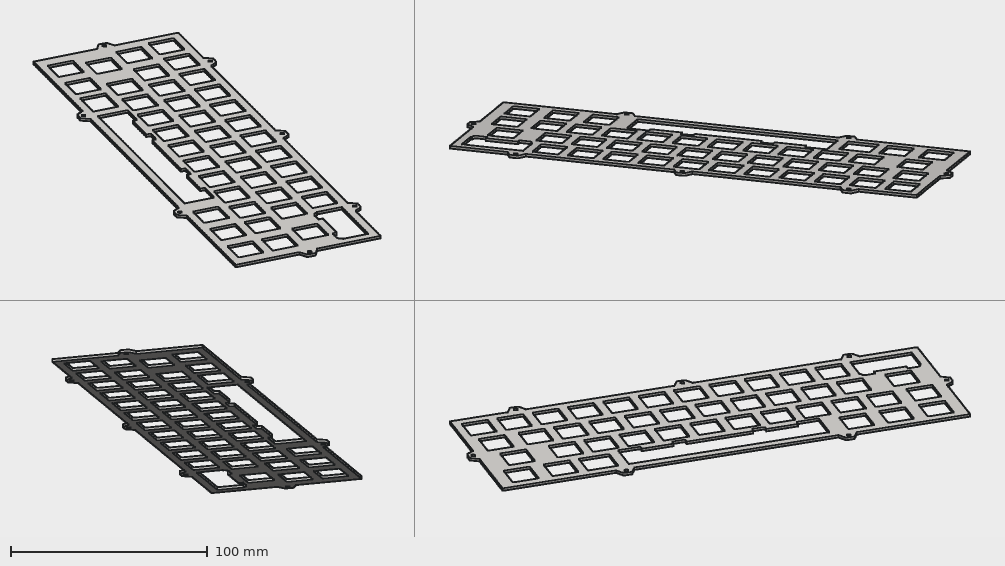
import cadquery as cq

length = 260.6
width = 89.1
thickness = 1.5
plate_length = 252.0
ear_reach = (length - plate_length) / 2
plate_width = width - 2 * ear_reach

ear_base = 10.0
ear_top = 4.5
ear_top_radius = 0.8
ear_hole_diameter = 2.0
ear_hole_inset = 2.5
back_ear_spacing = 90.0
front_ear_spacing = 120.0

row_length = 247.5
row_length_in_keys = 13
key_unit = row_length / row_length_in_keys
row_count = 4

switch_straight_side = 13.0
corner_radius = 0.5
switch_size = switch_straight_side + 2 * corner_radius

backspace_centre = 12
backspace_length = 33.0
backspace_notch_span = 31.8
backspace_web_length = 17.5
backspace_notch_depth = 2.3
backspace_notch_radius = 2.0

spacebar_centre = 6.375
spacebar_shift = 0.13
spacebar_length = 108.2
spacebar_notch_depth = 2.48
spacebar_notch_radius = 0.8
outer_notch_length = 12.0
middle_notch_length = 7.0
middle_notch_spacing = 43.0

key_rows = [
    [0.5 + i for i in range(11)],
    [0.625] + [1.75 + i for i in range(10)] + [12.125],
    [0.875] + [2.25 + i for i in range(10)] + [12.375],
    [0.625, 1.75, 2.75, 2.875, 10.125, 11.25, 12.375],
]
backspace_row = 0
spacebar_row = row_count - 1


def key_position(row, key_centre):
    x = (key_centre - row_length_in_keys / 2) * key_unit
    y = ((row_count - 1) / 2 - row) * key_unit
    return x, y


def box_at(x, y, size_x, size_y):
    """Block through the full thickness, centred on (x, y)."""
    return cq.Workplane("XY").center(x, y).rect(size_x, size_y).extrude(thickness)


def ear_body():
    """Ear pointing to +Y, with its base line on the X axis and a root reaching into the plate."""
    outline = [
        (-ear_base / 2, -ear_reach / 2),
        (-ear_base / 2, 0),
        (-ear_top / 2, ear_reach),
        (ear_top / 2, ear_reach),
        (ear_base / 2, 0),
        (ear_base / 2, -ear_reach / 2),
    ]
    body = cq.Workplane("XY").polyline(outline).close().extrude(thickness)
    return body.edges("|Z and >Y").fillet(ear_top_radius)


def ear_hole():
    return (
        cq.Workplane("XY")
        .center(0, ear_reach - ear_hole_inset)
        .circle(ear_hole_diameter / 2)
        .extrude(thickness)
    )


def at_ears(shape):
    """Copies of a shape, one at each ear position on the plate rim."""
    edge_x = plate_length / 2
    edge_y = plate_width / 2
    places = [(i * back_ear_spacing, edge_y, 0) for i in (-1, 0, 1)]
    places += [(side * front_ear_spacing / 2, -edge_y, 180) for side in (-1, 1)]
    places += [(-side * edge_x, 0, side * 90) for side in (-1, 1)]
    return [
        shape.rotate((0, 0, 0), (0, 0, 1), angle).translate((x, y, 0))
        for x, y, angle in places
    ]


def switch_openings():
    opening = box_at(0, 0, switch_size, switch_size).edges("|Z").fillet(corner_radius)
    return [
        opening.translate((*key_position(row, centre), 0))
        for row, centres in enumerate(key_rows)
        for centre in centres
    ]


def backspace_opening():
    x, y = key_position(backspace_row, backspace_centre)
    opening = box_at(x, y, backspace_length, switch_size)
    notch_y = y - backspace_notch_depth / 2
    notch_width = switch_size + backspace_notch_depth
    notches = box_at(x, notch_y, backspace_notch_span, notch_width)
    notches = notches.edges("|Z and <Y").fillet(backspace_notch_radius)
    web_y = y - (switch_size + backspace_notch_depth) / 2
    web = box_at(x, web_y, backspace_web_length, backspace_notch_depth)
    return opening.union(notches.cut(web))


def spacebar_opening():
    x, y = key_position(spacebar_row, spacebar_centre)
    x += spacebar_shift
    notch_y = y + spacebar_notch_depth / 2
    notch_width = switch_size + spacebar_notch_depth
    opening = box_at(x, y, spacebar_length, switch_size)
    for side in (-1, 1):
        outer_x = x + side * (spacebar_length - outer_notch_length) / 2
        middle_x = x + side * middle_notch_spacing / 2
        for notch_x, notch_length in ((outer_x, outer_notch_length), (middle_x, middle_notch_length)):
            notch = box_at(notch_x, notch_y, notch_length, notch_width)
            notch = notch.edges("|Z and >Y").fillet(spacebar_notch_radius)
            opening = opening.union(notch)
    return opening


plate = box_at(0, 0, plate_length, plate_width)
for ear in at_ears(ear_body()):
    plate = plate.union(ear)

for opening in at_ears(ear_hole()) + switch_openings() + [backspace_opening(), spacebar_opening()]:
    plate = plate.cut(opening)

result = plate